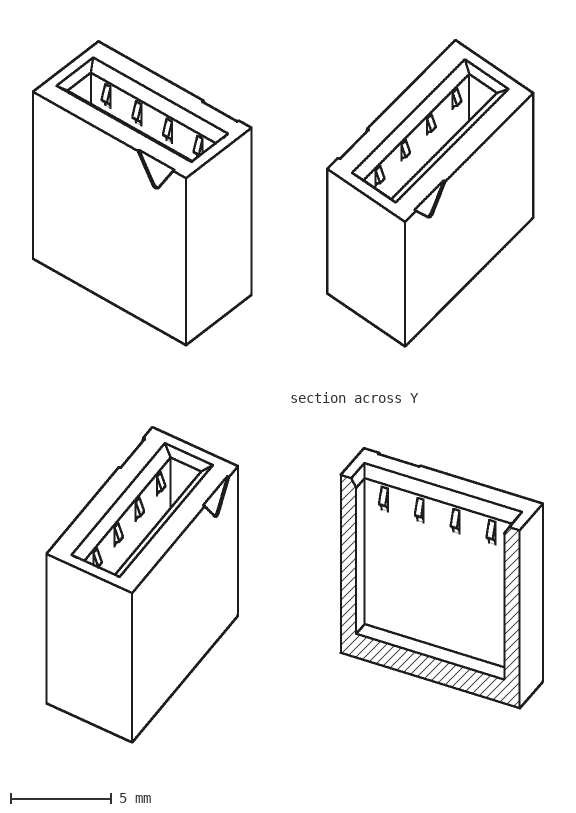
import cadquery as cq
import math

LENGTH = 10.0
WIDTH = 5.0
HEIGHT = 11.0

CAVITY_LENGTH = 8.24
CAVITY_WIDTH = 1.78
FLOOR_THICKNESS = 1.5
MOUTH_LENGTH = 8.8
MOUTH_WIDTH = 2.8
LEAD_IN_DEPTH = 0.5

TIPS_PER_ROW = 4
TIP_PITCH = 2.0
TIP_THICKNESS = 0.35
TIP_GAP = 1.18
TIP_TOP_DROP = 0.7
TIP_SLOPE_HEIGHT = 0.9
TIP_NOSE_RADIUS = 0.1
TIP_HEIGHT = 1.4
TIP_ROOT = 0.2

MARK_X = 3.0
MARK_SIDE = 2.3
MARK_HEIGHT = MARK_SIDE * math.sin(math.radians(60))
MARK_TIP_RADIUS = 0.2
MARK_DEPTH = 0.1


def make_housing():
    """Plain block with the blind cavity and its lead-in removed."""
    block = cq.Workplane("XY").box(LENGTH, WIDTH, HEIGHT, centered=(True, True, False))
    cavity = (
        cq.Workplane("XY")
        .workplane(offset=FLOOR_THICKNESS)
        .rect(CAVITY_LENGTH, CAVITY_WIDTH)
        .extrude(HEIGHT - FLOOR_THICKNESS)
    )
    lead_in = (
        cq.Workplane("XY")
        .workplane(offset=HEIGHT - LEAD_IN_DEPTH)
        .rect(CAVITY_LENGTH, CAVITY_WIDTH)
        .workplane(offset=LEAD_IN_DEPTH)
        .rect(MOUTH_LENGTH, MOUTH_WIDTH)
        .loft(ruled=True)
    )
    return block.cut(cavity).cut(lead_in)


def make_contact_tip(x, side):
    """Tip at x on the +Y (side = 1) or -Y (side = -1) cavity wall.

    Its top slopes outward to a rounded nose; its underside is a hollow arc that
    runs tangentially into the wall.
    """
    wall_y = side * CAVITY_WIDTH / 2
    root_y = wall_y + side * TIP_ROOT
    peak_y = side * TIP_GAP / 2
    top_z = HEIGHT - TIP_TOP_DROP
    bottom_z = top_z - TIP_HEIGHT
    peak_z = top_z - TIP_SLOPE_HEIGHT
    rise = peak_z - bottom_z
    reach = (CAVITY_WIDTH - TIP_GAP) / 2
    underside_radius = (rise**2 + reach**2) / (2 * reach)
    return (
        cq.Workplane("YZ", origin=(x, 0, 0))
        .moveTo(peak_y, peak_z)
        .lineTo(wall_y, top_z)
        .lineTo(root_y, top_z)
        .lineTo(root_y, bottom_z)
        .lineTo(wall_y, bottom_z)
        .radiusArc((peak_y, peak_z), -side * underside_radius)
        .close()
        .extrude(TIP_THICKNESS / 2, both=True)
        .edges("|X")
        .edges("<Y" if side > 0 else ">Y")
        .fillet(TIP_NOSE_RADIUS)
    )


def make_position_mark(side):
    """Downward-pointing triangle, rounded at its tip, sunk into one long face."""
    triangle = [
        (MARK_X - MARK_SIDE / 2, HEIGHT),
        (MARK_X + MARK_SIDE / 2, HEIGHT),
        (MARK_X, HEIGHT - MARK_HEIGHT),
    ]
    return (
        cq.Workplane("XZ", origin=(0, side * WIDTH / 2, 0))
        .polyline(triangle)
        .close()
        .extrude(MARK_DEPTH, both=True)
        .edges("|Y")
        .edges("<Z")
        .fillet(MARK_TIP_RADIUS)
    )


result = make_housing()
for side in (-1, 1):
    result = result.cut(make_position_mark(side))
    for index in range(TIPS_PER_ROW):
        tip_x = (index - (TIPS_PER_ROW - 1) / 2) * TIP_PITCH
        result = result.union(make_contact_tip(tip_x, side))